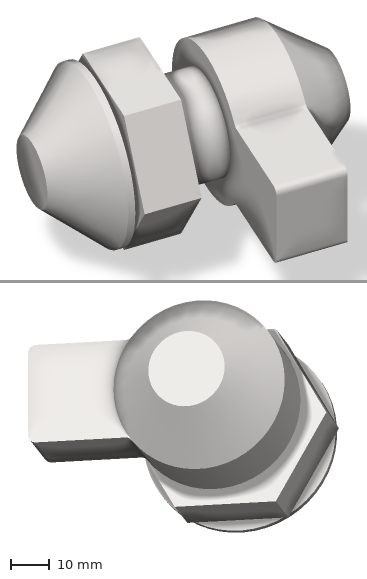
import cadquery as cq

cone_length = 16.0
rim_length = 2.0
neck_length = 2.0
hex_length = 16.0
shaft_length = 13.0
body_length = 20.0

tip_radius = 10.0
flange_radius = 25.25
shaft_radius = 30.0 / 2
body_radius = 45.0 / 2

hex_across_corners = 53.1

arm_reach = 2 * body_radius
arm_height = 26.0
arm_fillet = 2.0

rim_start = cone_length
rim_end = rim_start + rim_length
hex_start = rim_end + neck_length
hex_end = hex_start + hex_length
body_start = hex_end + shaft_length
body_end = body_start + body_length
rear_tip = body_end + cone_length


def plane_at(y):
    """XZ plane at the given Y, facing +Y; local x is global X."""
    return cq.Workplane(cq.Plane(origin=(0, y, 0), xDir=(1, 0, 0), normal=(0, 1, 0)))


def turned_section(profile):
    """Revolve a half profile of (radius, y) points about the Y axis."""
    return cq.Workplane("XY").polyline(profile).close().revolve(360, (0, 0, 0), (0, 1, 0))


def make_spindle():
    """Conical flange with its shaft running back to the body."""
    return turned_section([
        (0, 0),
        (tip_radius, 0),
        (flange_radius, rim_start),
        (flange_radius, rim_end),
        (shaft_radius, rim_end),
        (shaft_radius, body_start),
        (0, body_start),
    ])


def make_hex_collar():
    return plane_at(hex_start).polygon(6, hex_across_corners).extrude(hex_length)


def make_body_with_arm():
    """Cylinder and arm, rounded at the arm's root and at its outer edges."""
    cylinder = plane_at(body_start).circle(body_radius).extrude(body_length)
    arm = plane_at(body_start).rect(arm_reach, arm_height).extrude(body_length)
    arm = arm.translate((arm_reach / 2, 0, 0))
    root_and_end = cq.selectors.BoxSelector(
        (shaft_radius, body_start, -arm_height),
        (arm_reach + arm_fillet, body_end, arm_height),
    )
    return cylinder.union(arm).edges("|Y").edges(root_and_end).fillet(arm_fillet)


def make_rear_cone():
    return turned_section([
        (0, body_end),
        (body_radius, body_end),
        (tip_radius, rear_tip),
        (0, rear_tip),
    ])


result = (
    make_spindle()
    .union(make_hex_collar())
    .union(make_body_with_arm())
    .union(make_rear_cone())
)